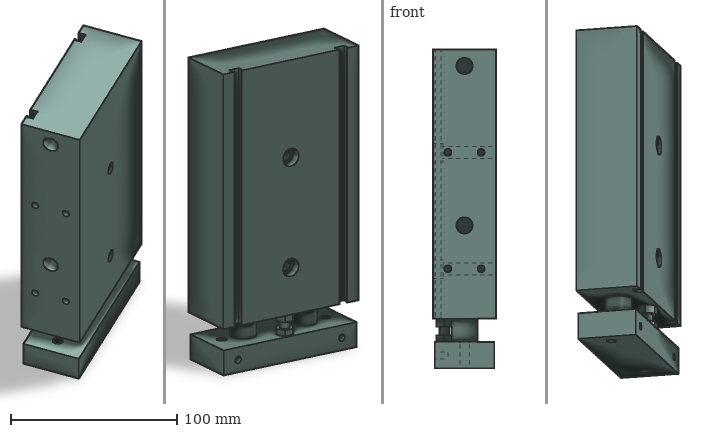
import cadquery as cq
import math

total_height = 192.0
housing_size_x = 38.0
housing_size_y = 98.0
plate_size_x = 36.0
plate_size_y = 96.0
plate_height = 16.0
rod_exposed_length = 14.0
housing_base_z = plate_height + rod_exposed_length
housing_height = total_height - housing_base_z
housing_left_x = -housing_size_x / 2
housing_front_y = -housing_size_y / 2
plate_left_x = -plate_size_x / 2

slot_offset_y = 38.0
slot_mouth_width = 5.2
slot_inner_width = 7.0
slot_depth = 4.6
slot_lip_thickness = 0.5
slot_flare = (slot_inner_width - slot_mouth_width) / 2

mount_row_z = [housing_base_z + 30.0, housing_base_z + 100.0]
through_hole_diameter = 7.3
counterbore_diameter = 11.1
counterbore_depth = 6.0
front_thread_diameter = 4.2
front_thread_depth = 8.0
front_thread_offset_x = 10.0

port_diameter = 9.8
port_depth = 12.0
port_z = [housing_base_z + 56.0, housing_base_z + 152.0]

rod_diameter = 16.0
rod_spacing = 44.0
plate_hole_offset_y = 37.5
plate_vertical_hole_diameter = 6.0
plate_side_hole_diameter = 4.2
plate_side_hole_depth = 8.0

bolt_x = -12.0
bolt_diameter = 6.0
hex_across_flats = 10.0
hex_across_corners = hex_across_flats / math.cos(math.pi / 6)
bolt_head_height = 4.0
lock_nut_height = 5.0
head_chamfer_height = 0.5
head_end_diameter = 9.5


def cylinder(start, direction, diameter, length):
    """Solid cylinder from a start point along a direction."""
    return cq.Workplane(obj=cq.Solid.makeCylinder(
        diameter / 2, length, cq.Vector(*start), cq.Vector(*direction)))


def sensor_slot(center_y):
    """Undercut slot over the housing height, flared behind its lips."""
    lip_x = housing_left_x + slot_lip_thickness
    flare_x = lip_x + slot_flare
    floor_x = housing_left_x + slot_depth
    half_mouth = slot_mouth_width / 2
    half_inner = slot_inner_width / 2
    return (
        cq.Workplane("XY", origin=(0, center_y, housing_base_z))
        .moveTo(housing_left_x, -half_mouth)
        .lineTo(lip_x, -half_mouth)
        .lineTo(flare_x, -half_inner)
        .lineTo(floor_x, -half_inner)
        .lineTo(floor_x, half_inner)
        .lineTo(flare_x, half_inner)
        .lineTo(lip_x, half_mouth)
        .lineTo(housing_left_x, half_mouth)
        .close()
        .extrude(housing_height)
    )


def make_housing():
    """Rectangular cylinder housing with slots, ports and mounting holes."""
    housing = cq.Workplane("XY", origin=(0, 0, housing_base_z)).box(
        housing_size_x, housing_size_y, housing_height, centered=(True, True, False))
    for side in (-1, 1):
        housing = housing.cut(sensor_slot(side * slot_offset_y))

    for z in port_z:
        housing = housing.cut(cylinder((0, housing_front_y, z), (0, 1, 0), port_diameter, port_depth))

    for z in mount_row_z:
        left_point = (housing_left_x, 0, z)
        housing = housing.cut(cylinder(left_point, (1, 0, 0), through_hole_diameter, housing_size_x))
        housing = housing.cut(cylinder(left_point, (1, 0, 0), counterbore_diameter, counterbore_depth))
        for side in (-1, 1):
            front_point = (side * front_thread_offset_x, housing_front_y, z)
            housing = housing.cut(
                cylinder(front_point, (0, 1, 0), front_thread_diameter, front_thread_depth))
    return housing


def make_plate_with_rods():
    """Tool plate carrying the two guide rods, which reach up to the housing."""
    plate = cq.Workplane("XY").box(
        plate_size_x, plate_size_y, plate_height, centered=(True, True, False))
    for side in (-1, 1):
        rod_base = (0, side * rod_spacing / 2, plate_height)
        plate = plate.union(cylinder(rod_base, (0, 0, 1), rod_diameter, rod_exposed_length))

        hole_y = side * plate_hole_offset_y
        plate = plate.cut(
            cylinder((0, hole_y, 0), (0, 0, 1), plate_vertical_hole_diameter, plate_height))
        side_point = (plate_left_x, hole_y, plate_height / 2)
        plate = plate.cut(
            cylinder(side_point, (1, 0, 0), plate_side_hole_diameter, plate_side_hole_depth))
    return plate


def hexagon(base_z, height):
    """Hexagonal prism on the bolt axis, with corners along Y."""
    return (
        cq.Workplane("XY", origin=(bolt_x, 0, base_z))
        .transformed(rotate=(0, 0, 90))
        .polygon(6, hex_across_corners)
        .extrude(height)
    )


def bolt_head():
    """Hexagonal head whose lower corners are trimmed by a cone."""
    envelope = (
        cq.Workplane("XZ", origin=(bolt_x, 0, plate_height))
        .lineTo(head_end_diameter / 2, 0)
        .lineTo(hex_across_corners / 2, head_chamfer_height)
        .lineTo(hex_across_corners / 2, bolt_head_height)
        .lineTo(0, bolt_head_height)
        .close()
        .revolve(360, (0, 0, 0), (0, 1, 0))
    )
    return hexagon(plate_height, bolt_head_height).intersect(envelope)


def make_adjusting_bolt():
    """Bolt head, shank and lock nut as one body between plate and housing."""
    shank = cylinder((bolt_x, 0, plate_height), (0, 0, 1), bolt_diameter, rod_exposed_length)
    lock_nut = hexagon(housing_base_z - lock_nut_height, lock_nut_height)
    return bolt_head().union(shank).union(lock_nut)


housing = make_housing()
plate_with_rods = make_plate_with_rods()
adjusting_bolt = make_adjusting_bolt()

result = cq.Compound.makeCompound([
    housing.val(),
    plate_with_rods.val(),
    adjusting_bolt.val(),
])